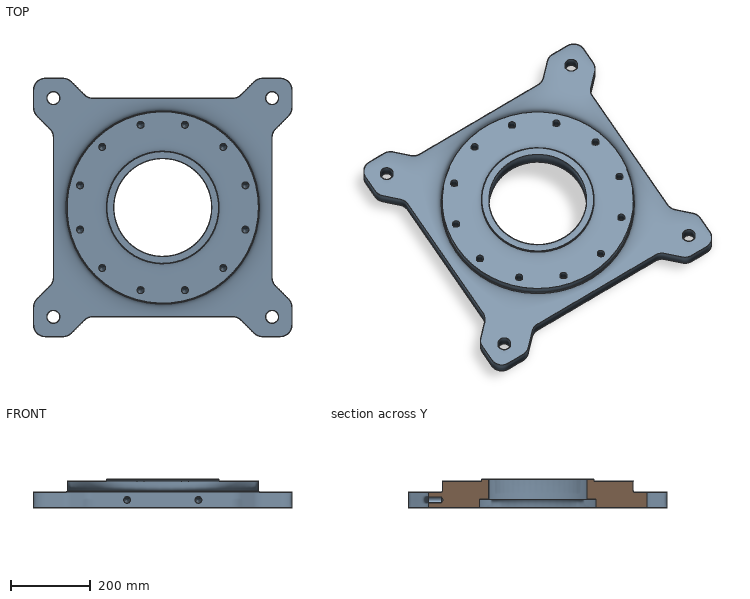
import cadquery as cq
import math

plate_span = 650.0
plate_thickness = 39.5
disc_top = 67.0
collar_top = 72.0

body_side = 550.0
lug_edge = 86.5
outline_radius = 30.0
lug_hole_diameter = 32.0

disc_diameter = 481.0
collar_diameter = 283.5
collar_chamfer = 1.0
foot_bevel = 2.5

bore_diameter = 246.0
recess_diameter = 292.5
recess_depth = 21.5

bolt_count = 12
bolt_circle_radius = 215.0
bolt_hole_diameter = 17.5
bolt_start_angle = 180 / bolt_count

front_hole_spacing = 179.5
front_hole_diameter = 17.0
side_hole_diameter = 13.5

blind_hole_depth = 32.5
drill_point_angle = 118

outer_half = plate_span / 2
body_half = body_side / 2
mid_height = plate_thickness / 2


def make_plate():
    """Square plate whose corner lugs have 45 degree flanks and rounded corners."""
    lug_start = outer_half - lug_edge
    lug_root = lug_start - (outer_half - body_half)
    lug = [
        (body_half, lug_root),
        (outer_half, lug_start),
        (outer_half, outer_half),
        (lug_start, outer_half),
        (lug_root, body_half),
    ]
    outline = []
    for _ in range(4):
        outline += lug
        lug = [(-y, x) for x, y in lug]
    plate = cq.Workplane("XY").polyline(outline).close().extrude(plate_thickness)
    return plate.edges("|Z").fillet(outline_radius)


def cylinder(diameter, bottom, top):
    """Cylinder on the central axis between two heights."""
    return cq.Workplane("XY").workplane(offset=bottom).circle(diameter / 2).extrude(top - bottom)


def footed_cylinder(diameter, bottom, top):
    """Cylinder on the central axis that widens by a 45 degree bevel at its foot."""
    radius = diameter / 2
    profile = [
        (0, bottom),
        (radius + foot_bevel, bottom),
        (radius, bottom + foot_bevel),
        (radius, top),
        (0, top),
    ]
    return cq.Workplane("XZ").polyline(profile).close().revolve(360, (0, 0), (0, 1))


def drilled_hole(diameter, start, direction):
    """Blind hole with a conical end, drilled from a surface point along a direction."""
    radius = diameter / 2
    point_length = radius / math.tan(math.radians(drill_point_angle / 2))
    start = cq.Vector(*start)
    direction = cq.Vector(*direction)
    shaft = cq.Solid.makeCylinder(radius, blind_hole_depth, start, direction)
    point = cq.Solid.makeCone(radius, 0, point_length, start + direction * blind_hole_depth, direction)
    return cq.Workplane(shaft.fuse(point))


result = make_plate()
result = result.union(footed_cylinder(disc_diameter, plate_thickness, disc_top))
collar = cylinder(collar_diameter, disc_top, collar_top)
result = result.union(collar.faces(">Z").chamfer(collar_chamfer))

result = result.cut(cylinder(bore_diameter, 0, collar_top))
result = result.cut(cylinder(recess_diameter, 0, recess_depth))

result = (
    result.faces("<Z")
    .workplane(origin=(0, 0, 0))
    .rect(body_side, body_side, forConstruction=True)
    .vertices()
    .hole(lug_hole_diameter)
)

for index in range(bolt_count):
    angle = math.radians(bolt_start_angle + index * 360 / bolt_count)
    x = bolt_circle_radius * math.cos(angle)
    y = bolt_circle_radius * math.sin(angle)
    result = result.cut(drilled_hole(bolt_hole_diameter, (x, y, disc_top), (0, 0, -1)))

for x in (-front_hole_spacing / 2, front_hole_spacing / 2):
    result = result.cut(drilled_hole(front_hole_diameter, (x, -body_half, mid_height), (0, 1, 0)))
result = result.cut(drilled_hole(side_hole_diameter, (-body_half, 0, mid_height), (1, 0, 0)))